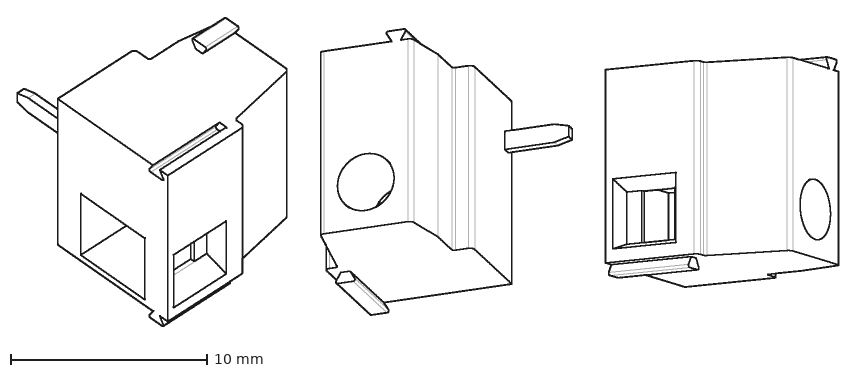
import cadquery as cq
import math

body_width = 8.1
body_depth = 10.0
body_height = 10.0
center_x = body_width / 2

shoulder_y = 5.43
neck_left_x = 1.1
neck_right_x = 7.4
left_taper_start_y = 7.5
left_taper_angle = 10.0
right_taper_angle = 10.5
outer_fillet = 0.25
inner_fillet = 0.15

pin_length = 3.5
pin_height = 1.0
pin_thickness = 0.5
pin_center_y = 0.75
pin_center_z = 7.5
pin_tip_length = 0.8
pin_tip_height = 0.6

pocket_width = 4.7
pocket_height = 4.2
pocket_depth = 5.0
pocket_center_z = 2.5
hole_diameter = 3.1

window_width = 1.95
window_height = 2.7
window_center_y = 2.28
window_lip = 0.26
flare_width = 3.7
flare_drop = 0.46

dovetail_depth = 0.58
dovetail_neck = 0.5
dovetail_angle = 58.5
dovetail_fillet = 0.1
front_dovetail_x = 7.26
front_dovetail_length = 4.7
rear_dovetail_x = 2.39
rear_dovetail_length = 2.3

overlap = 0.1


def make_body():
    """Stepped block with rounded vertical edges."""
    left_slant = (body_depth - left_taper_start_y) * math.tan(math.radians(left_taper_angle))
    right_slant = (body_depth - shoulder_y) * math.tan(math.radians(right_taper_angle))
    outline = [
        (0, 0),
        (body_width, 0),
        (body_width, shoulder_y),
        (neck_right_x, shoulder_y),
        (neck_right_x - right_slant, body_depth),
        (neck_left_x + left_slant, body_depth),
        (neck_left_x, left_taper_start_y),
        (neck_left_x, shoulder_y),
        (0, shoulder_y),
    ]
    outer_corners = [outline[2], outline[4], outline[5], outline[8]]
    inner_corners = [outline[3], outline[7]]
    body = cq.Workplane("XY").polyline(outline).close().extrude(body_height)
    for corners, radius in ((outer_corners, outer_fillet), (inner_corners, inner_fillet)):
        for x, y in corners:
            edge = cq.selectors.NearestToPointSelector((x, y, body_height / 2))
            body = body.edges("|Z").edges(edge).fillet(radius)
    return body


def make_dovetail(x, base_z, direction, front_y, length):
    """Dovetail bar along Y that widens from base_z in the given Z direction."""
    neck_half = dovetail_neck / 2
    wide_half = neck_half + dovetail_depth / math.tan(math.radians(dovetail_angle))
    wide_z = base_z + direction * dovetail_depth
    profile = [
        (x - neck_half, base_z),
        (x - wide_half, wide_z),
        (x + wide_half, wide_z),
        (x + neck_half, base_z),
    ]
    wide_side = ">Z" if direction > 0 else "<Z"
    return (
        cq.Workplane("XZ", origin=(0, front_y, 0))
        .polyline(profile)
        .close()
        .extrude(-length)
        .faces(wide_side)
        .edges("|Y")
        .fillet(dovetail_fillet)
    )


def make_pin():
    """Flat pin pointing to -X with a tapered tip."""
    half = pin_height / 2
    tip_half = pin_tip_height / 2
    taper_x = pin_tip_length - pin_length
    profile = [
        (overlap, pin_center_z - half),
        (taper_x, pin_center_z - half),
        (-pin_length, pin_center_z - tip_half),
        (-pin_length, pin_center_z + tip_half),
        (taper_x, pin_center_z + half),
        (overlap, pin_center_z + half),
    ]
    front_y = pin_center_y - pin_thickness / 2
    return cq.Workplane("XZ", origin=(0, front_y, 0)).polyline(profile).close().extrude(-pin_thickness)


def make_wire_passage():
    """Rectangular front pocket continued to the rear as a round hole."""
    front = cq.Workplane("XZ").center(center_x, pocket_center_z)
    pocket = front.rect(pocket_width, pocket_height).extrude(-pocket_depth)
    hole = front.circle(hole_diameter / 2).extrude(-body_depth)
    return pocket.union(hole)


def make_side_window():
    """Window in the right pocket wall, widening outwards with a sloped floor and roof."""
    wall_x = center_x + pocket_width / 2
    lip_end_x = wall_x + window_lip
    half = window_height / 2
    opening = (
        cq.Workplane("XY")
        .box(window_lip + overlap, window_width, window_height, centered=(False, True, True))
        .translate((wall_x - overlap, window_center_y, pocket_center_z))
    )
    flare_profile = [
        (lip_end_x, pocket_center_z - half),
        (body_width, pocket_center_z - half - flare_drop),
        (body_width, pocket_center_z + half + flare_drop),
        (lip_end_x, pocket_center_z + half),
    ]
    flare_front_y = window_center_y - flare_width / 2
    flare = cq.Workplane("XZ", origin=(0, flare_front_y, 0)).polyline(flare_profile).close().extrude(-flare_width)
    return opening.union(flare)


top_rail = make_dovetail(
    rear_dovetail_x, body_height, 1, body_depth - rear_dovetail_length, rear_dovetail_length
)
bottom_rail = make_dovetail(front_dovetail_x, 0, -1, 0, front_dovetail_length)
top_groove = make_dovetail(front_dovetail_x, body_height, -1, 0, front_dovetail_length)

result = (
    make_body()
    .cut(make_wire_passage())
    .cut(make_side_window())
    .cut(top_groove)
    .union(top_rail)
    .union(bottom_rail)
    .union(make_pin())
)